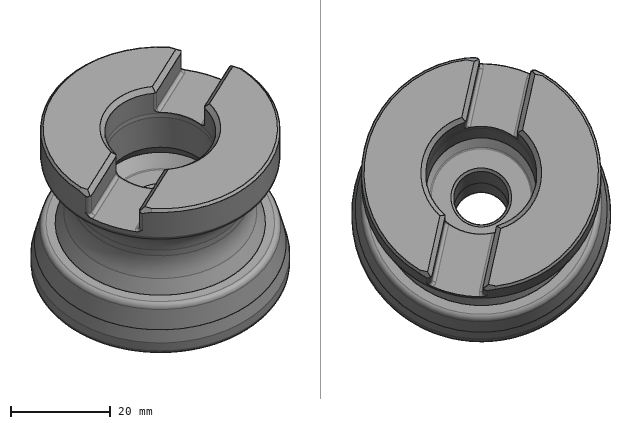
import cadquery as cq
import math

match_tolerance = 0.005
hole_diameter = 11.0
total_height = 40.0
split_height = 8.15

pad_radius = 25.95
skirt_bottom = 5.2
skirt_top = 13.75
skirt_top_radius = 23.9
skirt_top_round = 1.3
skirt_lean = (pad_radius - skirt_top_radius) / (skirt_top - skirt_bottom)
split_radius = pad_radius - skirt_lean * (split_height - skirt_bottom)

base_radius = 16.75
bottom_cone_angle = math.radians(13)
base_blend_radius = 25.95
pad_edge_round = 1.1
bottom_cone_top = (pad_radius - base_radius) * math.tan(bottom_cone_angle)

neck_radius = 18.0
neck_bottom = 21.75
neck_top = 23.3
lower_flare_angle = math.radians(30)
lower_flare_radius = 10.0
upper_flare_angle = math.radians(50)
upper_flare_radius = 8.0
flange_radius = 48.0 / 2
flange_round = 1.0
rim_chamfer = 0.5

bore_mouth_radius = 22.2 / 2
bore_radius = 22.0 / 2
bore_mouth_chamfer = 1.0
bore_taper_top = 33.45
bore_taper_height = 1.05
groove_top = 24.15
groove_radius = 12.8
groove_upper_angle = math.radians(30)
groove_lower_angle = math.radians(40)
bore_floor_radius = 10.15
bore_floor_round = 0.4
groove_depth = groove_radius - bore_radius
groove_middle = groove_top - groove_depth / math.tan(groove_upper_angle)
bore_floor = groove_middle - (groove_radius - bore_floor_radius) * math.tan(groove_lower_angle)
hole_chamfer = 0.55

slot_width = 10.5
slot_floor = 33.7
slot_chamfer = 1.0
slot_round = 0.8
slot_length = 2 * pad_radius
slot_end_chamfer_y = 22.15


def circle_edges(body, height, radius):
    """Edges that are circles or arcs about the axis at the given height and radius."""
    def matches(edge):
        if edge.geomType() != "CIRCLE":
            return False
        centre = edge.arcCenter()
        on_axis = math.hypot(centre.x, centre.y) < match_tolerance
        at_height = abs(centre.z - height) < match_tolerance
        same_radius = abs(edge.radius() - radius) < match_tolerance
        return on_axis and at_height and same_radius

    return body.newObject([edge for edge in body.edges().vals() if matches(edge)])


def revolve(profile):
    """Turn a closed profile, drawn as radius and height, about the Z axis."""
    return profile.close().revolve(360, (0, 0, 0), (0, 1, 0))


def flare_point(neck_end, radius, turn):
    """Point on a flare that curves outward from the neck; a negative turn runs downward."""
    return neck_radius + radius * (1 - math.cos(turn)), neck_end + radius * math.sin(turn)


def make_foot_pad():
    profile = (
        cq.Workplane("XZ")
        .moveTo(hole_diameter / 2, 0)
        .lineTo(base_radius, 0)
        .lineTo(pad_radius, bottom_cone_top)
        .lineTo(pad_radius, skirt_bottom)
        .lineTo(split_radius, split_height)
        .lineTo(hole_diameter / 2, split_height)
    )
    pad = revolve(profile)
    pad = circle_edges(pad, bottom_cone_top, pad_radius).fillet(pad_edge_round)
    return circle_edges(pad, 0, base_radius).fillet(base_blend_radius)


def make_hub_blank():
    """Turned outside of the hub, with its edges rounded."""
    lower_end = flare_point(neck_bottom, lower_flare_radius, -lower_flare_angle)
    lower_middle = flare_point(neck_bottom, lower_flare_radius, -lower_flare_angle / 2)
    upper_middle = flare_point(neck_top, upper_flare_radius, upper_flare_angle / 2)
    upper_end = flare_point(neck_top, upper_flare_radius, upper_flare_angle)
    neck_foot_radius = lower_end[0] + (lower_end[1] - skirt_top) * math.tan(lower_flare_angle)
    flange_bottom = upper_end[1] + (flange_radius - upper_end[0]) / math.tan(upper_flare_angle)

    profile = (
        cq.Workplane("XZ")
        .moveTo(0, split_height)
        .lineTo(split_radius, split_height)
        .lineTo(skirt_top_radius, skirt_top)
        .lineTo(neck_foot_radius, skirt_top)
        .lineTo(*lower_end)
        .threePointArc(lower_middle, (neck_radius, neck_bottom))
        .lineTo(neck_radius, neck_top)
        .threePointArc(upper_middle, upper_end)
        .lineTo(flange_radius, flange_bottom)
        .lineTo(flange_radius, total_height)
        .lineTo(0, total_height)
    )
    blank = revolve(profile)
    blank = circle_edges(blank, skirt_top, skirt_top_radius).fillet(skirt_top_round)
    return circle_edges(blank, flange_bottom, flange_radius).fillet(flange_round)


def make_bore():
    """Space of the bore, its groove and the through hole."""
    profile = (
        cq.Workplane("XZ")
        .moveTo(0, split_height)
        .lineTo(hole_diameter / 2, split_height)
        .lineTo(hole_diameter / 2, bore_floor - hole_chamfer)
        .lineTo(hole_diameter / 2 + hole_chamfer, bore_floor)
        .lineTo(bore_floor_radius, bore_floor)
        .lineTo(groove_radius, groove_middle)
        .lineTo(bore_radius, groove_top)
        .lineTo(bore_radius, bore_taper_top - bore_taper_height)
        .lineTo(bore_mouth_radius, bore_taper_top)
        .lineTo(bore_mouth_radius, total_height)
        .lineTo(0, total_height)
    )
    bore = revolve(profile)
    return circle_edges(bore, bore_floor, bore_floor_radius).fillet(bore_floor_round)


def make_lugs():
    """The two blocks left standing beside the slot, with rounded upright corners."""
    floor_plane = cq.Workplane("XY").workplane(offset=slot_floor)
    lug_height = total_height - slot_floor
    lugs = floor_plane.circle(flange_radius).circle(bore_mouth_radius).extrude(lug_height)
    lugs = lugs.cut(floor_plane.rect(slot_width, slot_length).extrude(lug_height))
    corners = cq.selectors.BoxSelector(
        (-slot_width, -pad_radius, slot_floor),
        (slot_width, pad_radius, total_height),
    )
    return lugs.edges("|Z").edges(corners).fillet(slot_round)


def cut_slot(blank):
    """Clear the space around the two lugs, leaving a round along their feet."""
    floor_plane = cq.Workplane("XY").workplane(offset=slot_floor)
    space = floor_plane.circle(slot_length).extrude(total_height - slot_floor).cut(make_lugs())
    lug_feet = cq.selectors.BoxSelector(
        (-pad_radius, -pad_radius, slot_floor - slot_round),
        (pad_radius, pad_radius, slot_floor + slot_round),
        boundingbox=True,
    )
    space = space.faces("<Z").edges(lug_feet).fillet(slot_round)
    return blank.cut(space)


def chamfer_top(hub):
    """Bevel the rim, the mouth of the bore, the sides of the slot and its ends."""
    rim_ring = revolve(
        cq.Workplane("XZ")
        .moveTo(flange_radius - rim_chamfer, total_height)
        .lineTo(flange_radius, total_height)
        .lineTo(flange_radius, total_height - rim_chamfer)
    )
    mouth = revolve(
        cq.Workplane("XZ")
        .moveTo(0, total_height - bore_mouth_chamfer)
        .lineTo(bore_mouth_radius, total_height - bore_mouth_chamfer)
        .lineTo(bore_mouth_radius + bore_mouth_chamfer, total_height)
        .lineTo(0, total_height)
    )
    slot_bevel = (
        cq.Workplane("XZ")
        .moveTo(-slot_width / 2, total_height - slot_chamfer)
        .lineTo(slot_width / 2, total_height - slot_chamfer)
        .lineTo(slot_width / 2 + slot_chamfer, total_height)
        .lineTo(-slot_width / 2 - slot_chamfer, total_height)
        .close()
        .extrude(slot_length / 2, both=True)
    )
    hub = hub.cut(rim_ring).cut(mouth).cut(slot_bevel)
    end_drop = flange_radius - slot_end_chamfer_y
    for side in (-1, 1):
        end_bevel = (
            cq.Workplane("YZ")
            .moveTo(side * slot_end_chamfer_y, total_height)
            .lineTo(side * flange_radius, total_height)
            .lineTo(side * flange_radius, total_height - end_drop)
            .close()
            .extrude(flange_radius, both=True)
        )
        hub = hub.cut(end_bevel)
    return hub


def make_hub():
    hub = cut_slot(make_hub_blank()).cut(make_bore())
    return chamfer_top(hub)


foot_pad = make_foot_pad()
hub = make_hub()
result = cq.Compound.makeCompound([foot_pad.solids().val(), hub.solids().val()])